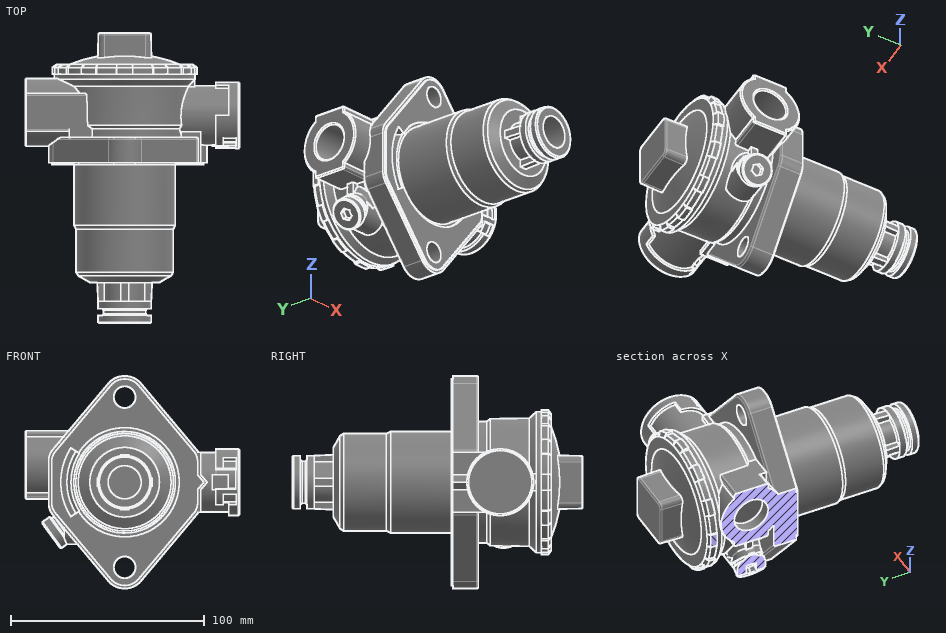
import cadquery as cq
import math


flange_height = 110.0
bolt_offset = 44.0
bolt_hole_radius = 5.5
tip_radius = flange_height / 2 - bolt_offset
flange_half_width = 39.3
side_corner_radius = 9.5
edge_angle = math.radians(40)
flange_back = 14.1
flange_edge_round = 1.0
lip_height = 0.9
lip_inset = 1.6
nub_tip = 42.6
nub_half_height = 4.0
nub_embed = 1.5

neck_radius = 31.5
neck_top = 18.5
bowl_bottom = 20.2
bowl_radius = 32.8
bowl_top_radius = 33.2
bowl_top = 40.4
rim_bottom = 44.0
rim_top = 46.6
rim_radius = 36.5

cartridge_radius = 26.2
clearance_radius = 28.2
clearance_depth = 1.5
crescent_radius = 33.0
crescent_floor_inner = 29.8
crescent_cone_inner = 27.8
crescent_depth = 7.5
crescent_half_angle = 32.5

port_y = 27.0
inlet_z = 9.0
inlet_face = -51.5
inlet_radius = 17.5
slab_half_depth = 9.9
slab_half_height = 17.7
slab_edge_round = 1.2
inlet_edge_chamfer = 0.8
web_start = -28.5
inlet_bore_radius = 9.6
inlet_bore_depth = 21.0
inlet_mouth_chamfer = 0.8

bleed_angle = 36.0
bleed_stub_radius = 8.4
bleed_stub_end = 39.9
bleed_groove_radius = 7.2
bleed_head_start = 41.4
bleed_head_end = 47.0
bleed_head_radius = 8.4
bleed_head_chamfer = 0.6
hex_width = 5.7
hex_depth = 3.0
bleed_rib_outer = -34.8
bleed_rib_width = 3.9
bleed_rib_bottom = -21.0
bleed_fairing_radius = 8.8
bleed_fairing_angle = 60.0
bleed_fairing_x = -21.0
bleed_fairing_z = -9.3
bleed_fairing_length = 15.0
bleed_shoulder_outer = -31.2
bleed_shoulder_radius = 8.7
bleed_shoulder_z = -23.4
bleed_support_inner = -18.0

connector_y = 25.4
connector_radius = 15.5
connector_end = 59.5
collar_radius = 17.2
cut_margin = 1.5
collar_start = 47.0
collar_end_chamfer = 0.9
collar_gaps = [(-65, 0, 53.7), (65, 102, 57.5), (132, 245, 53.7)]
window_start = 51.0
window_end = 57.6
window_bands = [(7.4, 12.6), (-11.7, -6.3)]
window_depth = 2.4
latch_start = 45.2
latch_end = 53.4
latch_half_width = 3.8
latch_height = 0.5
pad_start = 29.2
pad_top = 17.0
pad_half_height = 15.6
gusset_inner = 31.5
gusset_outer = 36.3
gusset_bottom = 39.3
gusset_half_width = 4.5

cap_ring_radius = 36.3
cap_straight_top = 50.1
cap_shoulder = 51.8
cap_top_radius = 35.1
dome_edge_radius = 28.5
dome_top = 57.3
grip_count = 12
grip_radius = 37.5
grip_angle = 13.0
knob_top = 68.0
knob_half_width = 13.6
knob_corner_radius = 3.0
knob_taper = 1.2
knob_edge_round = 0.9

step_start = -31.2
step_end = -33.5
lower_radius = 25.2
lower_end = -55.5
shoulder_radius = 24.0
shoulder_y = -57.5
cartridge_end = -60.9
cartridge_end_radius = 18.0

nipple_core_radius = 10.6
nipple_radius = 13.8
nipple_collar_top = -70.6
groove_top = -74.5
groove_bottom = -77.8
groove_wall_foot = 11.5
groove_radius = 11.0
groove_floor_top = -75.3
groove_floor_bottom = -77.0
nipple_end = -82.0
nipple_chamfer = 0.8
nipple_bore_radius = 8.5
nipple_bore_depth = 18.0
fin_count = 4
fin_width = 4.0
fin_radius = 14.2


def box(x_range, y_range, z_range):
    """A block between the given limits."""
    corner = cq.Vector(x_range[0], y_range[0], z_range[0])
    lengths = [high - low for low, high in (x_range, y_range, z_range)]
    return cq.Workplane(cq.Solid.makeBox(*lengths, corner))


def rod(radius, start, length, direction):
    """A cylinder from a start point along a direction."""
    return cq.Workplane(cq.Solid.makeCylinder(radius, length, cq.Vector(*start), cq.Vector(*direction)))


def turned(profile, angle=360):
    """A profile of (radius, y) points turned about the Y axis."""
    return cq.Workplane("XY").polyline(profile).close().revolve(angle, (0, 0, 0), (0, 1, 0))


def ring_sector(inner, outer, start, length, from_angle, to_angle):
    """A sector of a tube along +Z, starting at height start; angles in degrees from +X."""
    def point(radius, angle):
        turn = math.radians(angle)
        return radius * math.cos(turn), radius * math.sin(turn)

    middle = (from_angle + to_angle) / 2
    return (
        cq.Workplane("XY", origin=(0, 0, start))
        .moveTo(*point(inner, from_angle))
        .lineTo(*point(outer, from_angle))
        .threePointArc(point(outer, middle), point(outer, to_angle))
        .lineTo(*point(inner, to_angle))
        .threePointArc(point(inner, middle), point(inner, from_angle))
        .close()
        .extrude(length)
    )


def flange_plate(inset, front, back):
    """The flange outline with its edge moved inwards, as a plate between two Y levels."""
    half_width = flange_half_width - inset
    edge_distance = bolt_offset * math.sin(edge_angle) + tip_radius - inset
    apex = edge_distance / math.sin(edge_angle)
    side = (edge_distance - half_width * math.cos(edge_angle)) / math.sin(edge_angle)
    outline = [(0, apex), (half_width, side), (half_width, -side),
               (0, -apex), (-half_width, -side), (-half_width, side)]
    thickness = back - front
    plate = cq.Workplane("XZ", origin=(0, back, 0)).polyline(outline).close().extrude(thickness)
    plate = plate.edges("|Y").edges(">X or <X").fillet(side_corner_radius - inset)
    plate = plate.edges("|Y").edges(">Z or <Z").fillet(tip_radius - inset)
    tip = nub_tip - inset
    nub_root = half_width - nub_embed
    nub_root_half = nub_half_height + nub_embed
    nub_outline = [(nub_root, nub_root_half), (tip, 0), (nub_root, -nub_root_half)]
    nub = cq.Workplane("XZ", origin=(0, back, 0)).polyline(nub_outline).close().extrude(thickness)
    return plate, nub


def make_flange():
    plate, nub = flange_plate(0, lip_height, flange_back)
    lip, lip_nub = flange_plate(lip_inset, 0, lip_height)
    plate = plate.faces(">Y").edges().fillet(flange_edge_round)
    return plate.union(nub).union(lip).union(lip_nub)


def make_bowl():
    return turned([
        (0, lip_height), (neck_radius, lip_height), (neck_radius, neck_top), (bowl_radius, bowl_bottom),
        (bowl_top_radius, bowl_top), (rim_radius, rim_bottom), (rim_radius, rim_top), (0, rim_top),
    ])


def make_inlet():
    """Boss and slab end inside the bowl; a web below the slab joins it to the flange."""
    boss = rod(inlet_radius, (inlet_face, port_y, inlet_z), -inlet_face, (1, 0, 0))
    slab_y = (port_y - slab_half_depth, port_y + slab_half_depth)
    slab_z = (inlet_z - slab_half_height, inlet_z + slab_half_height)
    slab = box((inlet_face, 0), slab_y, slab_z).edges("|X").fillet(slab_edge_round)
    inlet = boss.union(slab).faces("<X").edges().chamfer(inlet_edge_chamfer)
    web = box((web_start, 0), (lip_height, port_y), slab_z)
    return inlet.union(web)


def make_bleed_port():
    """A radial stub and screw head; a fairing, a rib and a shoulder tie the stub to inlet and bowl."""
    turn = math.radians(bleed_angle)
    outward = (-math.cos(turn), 0, -math.sin(turn))
    centre = (0, port_y, 0)
    head_start = (bleed_head_start * outward[0], port_y, bleed_head_start * outward[2])
    stub = rod(bleed_stub_radius, centre, bleed_stub_end, outward)
    groove = rod(bleed_groove_radius, centre, bleed_head_start, outward)
    head = rod(bleed_head_radius, head_start, bleed_head_end - bleed_head_start, outward)
    head = head.edges().chamfer(bleed_head_chamfer)
    rib = box(
        (bleed_rib_outer, bleed_support_inner),
        (port_y - bleed_rib_width / 2, port_y + bleed_rib_width / 2),
        (bleed_rib_bottom, 0),
    )
    shoulder = rod(
        bleed_shoulder_radius,
        (bleed_shoulder_outer, port_y, bleed_shoulder_z),
        bleed_support_inner - bleed_shoulder_outer,
        (1, 0, 0),
    )
    fairing_turn = math.radians(bleed_fairing_angle)
    fairing = rod(
        bleed_fairing_radius,
        (bleed_fairing_x, port_y, bleed_fairing_z),
        bleed_fairing_length,
        (-math.cos(fairing_turn), 0, -math.sin(fairing_turn)),
    )
    end = (bleed_head_end * outward[0], port_y, bleed_head_end * outward[2])
    head_plane = cq.Plane(origin=end, xDir=(0, 1, 0), normal=outward)
    socket = cq.Workplane(head_plane).polygon(6, hex_width, circumscribed=True).extrude(-hex_depth)
    port = stub.union(groove).union(head).union(rib).union(shoulder).union(fairing)
    return port.cut(socket)


def collar_sector(inner, start, end, from_angle, to_angle):
    """A piece cut from the connector's collar; angles in degrees from +Z towards -Y."""
    outer = collar_radius + cut_margin
    sector = ring_sector(inner, outer, start, end - start, 180 + from_angle, 180 + to_angle)
    return sector.rotate((0, 0, 0), (0, 1, 0), 90).translate((0, connector_y, 0))


def make_connector():
    centre = (0, connector_y, 0)
    connector = rod(connector_radius, centre, connector_end, (1, 0, 0))
    collar_length = connector_end - collar_start
    collar = rod(collar_radius, (collar_start, connector_y, 0), collar_length, (1, 0, 0))
    collar = collar.faces(">X").edges().chamfer(collar_end_chamfer)
    connector = connector.union(collar)
    for from_angle, to_angle, end in collar_gaps:
        connector = connector.cut(collar_sector(connector_radius, collar_start, end, from_angle, to_angle))
    for low, high in window_bands:
        from_angle = math.degrees(math.acos(high / collar_radius))
        to_angle = math.degrees(math.acos(low / collar_radius))
        connector = connector.cut(
            collar_sector(collar_radius - window_depth, window_start, window_end, from_angle, to_angle)
        )
    front = connector_y - connector_radius
    latch = box(
        (latch_start, latch_end),
        (front - latch_height, connector_y),
        (-latch_half_width, latch_half_width),
    )
    pad = box((pad_start, flange_half_width), (lip_height, pad_top), (-pad_half_height, pad_half_height))
    gusset = box(
        (gusset_inner, gusset_outer), (gusset_bottom, rim_bottom), (-gusset_half_width, gusset_half_width)
    )
    return connector.union(latch).union(pad).union(gusset)


def make_housing():
    body = make_flange().union(make_bowl()).union(make_inlet()).union(make_bleed_port())
    body = body.union(make_connector())
    for z in (-bolt_offset, bolt_offset):
        body = body.cut(rod(bolt_hole_radius, (0, 0, z), 2 * flange_back, (0, 1, 0)))
    inlet_start = (inlet_face, port_y, inlet_z)
    bore = rod(inlet_bore_radius, inlet_start, inlet_bore_depth, (1, 0, 0))
    mouth_radius = inlet_bore_radius + inlet_mouth_chamfer
    mouth = cq.Workplane(cq.Solid.makeCone(
        mouth_radius, inlet_bore_radius, inlet_mouth_chamfer, cq.Vector(*inlet_start), cq.Vector(1, 0, 0)
    ))
    body = body.cut(bore).cut(mouth)
    body = body.cut(rod(cartridge_radius, (0, 0, 0), rim_top, (0, 1, 0)))
    body = body.cut(rod(clearance_radius, (0, 0, 0), clearance_depth, (0, 1, 0)))
    crescent = turned([
        (cartridge_radius, 0), (crescent_radius, 0), (crescent_radius, crescent_depth),
        (crescent_floor_inner, crescent_depth), (crescent_cone_inner, clearance_depth),
        (cartridge_radius, clearance_depth),
    ], 2 * crescent_half_angle)
    return body.cut(crescent.rotate((0, 0, 0), (0, 1, 0), 180 - crescent_half_angle))


def make_cap():
    ring = turned([
        (0, rim_top), (cap_ring_radius, rim_top), (cap_ring_radius, cap_straight_top),
        (cap_top_radius, cap_shoulder), (0, cap_shoulder),
    ])
    grip_profile = [
        (cartridge_radius, rim_top), (grip_radius, rim_top), (grip_radius, cap_straight_top),
        (cap_top_radius, cap_shoulder), (cartridge_radius, cap_shoulder),
    ]
    grip = turned(grip_profile, grip_angle).rotate((0, 0, 0), (0, 1, 0), -grip_angle / 2)
    for index in range(grip_count):
        ring = ring.union(grip.rotate((0, 0, 0), (0, 1, 0), index * 360 / grip_count))
    dome_height = dome_top - cap_shoulder
    dome_sphere_radius = (dome_edge_radius**2 + dome_height**2) / (2 * dome_height)
    half_turn = math.asin(dome_edge_radius / dome_sphere_radius) / 2
    sphere_centre = dome_top - dome_sphere_radius
    dome_middle = (
        dome_sphere_radius * math.sin(half_turn),
        sphere_centre + dome_sphere_radius * math.cos(half_turn),
    )
    dome = (
        cq.Workplane("XY")
        .moveTo(0, cap_shoulder)
        .lineTo(dome_edge_radius, cap_shoulder)
        .threePointArc(dome_middle, (0, dome_top))
        .close()
        .revolve(360, (0, 0, 0), (0, 1, 0))
    )
    side = 2 * knob_half_width
    outline = cq.Sketch().rect(side, side).vertices().fillet(knob_corner_radius)
    knob = cq.Workplane("XZ", origin=(0, knob_top, 0)).placeSketch(outline)
    knob = knob.extrude(knob_top - cap_shoulder, taper=-knob_taper)
    knob = knob.faces(">Y").edges().fillet(knob_edge_round)
    return ring.union(dome).union(knob)


def make_cartridge():
    return turned([
        (0, rim_top), (cartridge_radius, rim_top), (cartridge_radius, step_start),
        (lower_radius, step_end), (lower_radius, lower_end), (shoulder_radius, shoulder_y),
        (cartridge_end_radius, cartridge_end), (0, cartridge_end),
    ])


def make_nipple():
    nipple = turned([
        (0, cartridge_end), (nipple_core_radius, cartridge_end), (nipple_core_radius, nipple_collar_top),
        (nipple_radius, nipple_collar_top), (nipple_radius, groove_top), (groove_wall_foot, groove_top),
        (groove_radius, groove_floor_top), (groove_radius, groove_floor_bottom),
        (groove_wall_foot, groove_bottom), (nipple_radius, groove_bottom),
        (nipple_radius, nipple_end + nipple_chamfer), (nipple_radius - nipple_chamfer, nipple_end),
        (0, nipple_end),
    ])
    fin_outline = [
        (0, cartridge_end), (fin_radius, cartridge_end),
        (nipple_radius, nipple_collar_top), (0, nipple_collar_top),
    ]
    fin = cq.Workplane("XY").polyline(fin_outline).close().extrude(fin_width / 2, both=True)
    for index in range(fin_count):
        nipple = nipple.union(fin.rotate((0, 0, 0), (0, 1, 0), index * 360 / fin_count))
    return nipple.cut(rod(nipple_bore_radius, (0, nipple_end, 0), nipple_bore_depth, (0, 1, 0)))


def make_insert():
    return make_cartridge().union(make_cap()).union(make_nipple())


housing = make_housing()
insert = make_insert()
result = cq.Compound.makeCompound([housing.solids().val(), insert.solids().val()])